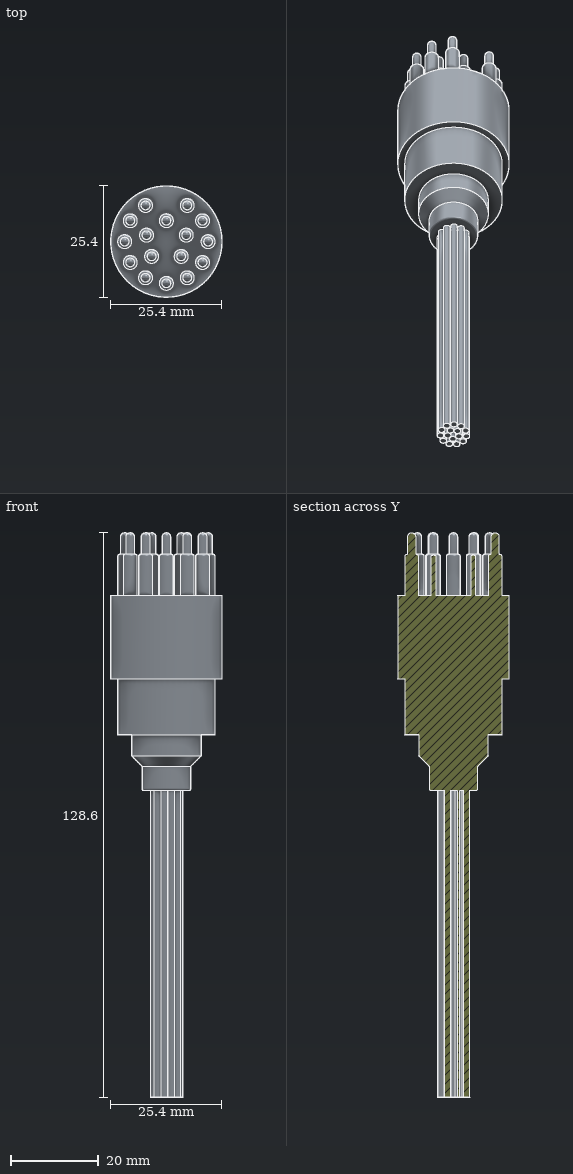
import cadquery as cq
import math

INCH = 25.4

WIRE_LENGTH = 2.75 * INCH
BOOT_LENGTH = 0.5 * INCH
SLEEVE_LENGTH = 0.5 * INCH
SHELL_LENGTH = 0.75 * INCH
SHELL_RADIUS = INCH / 2
SLEEVE_RADIUS = 22.23 / 2
BOOT_RADIUS = 15.88 / 2
NECK_RADIUS = 11.1 / 2
BOOT_COLLAR_LENGTH = 3 / 16 * INCH
NECK_FILLET = 0.4

PIN_LENGTH = 9 / 16 * INCH
PIN_BASE_LENGTH = 9.4
PIN_BASE_RADIUS = 3.17 / 2
PIN_SHOULDER_FILLET = 0.5
PIN_TIP_RADIUS = 1.99 / 2
PIN_TIP_FILLET = 0.95
OUTER_PIN_CIRCLE = 9.5
OUTER_PIN_SPACES = 12
INNER_PIN_CIRCLE = 4.76
KEY_ANGLE = 90
INNER_PIN_ANGLES = (-45, 18, KEY_ANGLE, 162, 225)

WIRE_RADIUS = 1.5 / 2
OUTER_WIRE_CIRCLE = 3.0
WIRE_START_ANGLE = 30.8
INNER_WIRE_CIRCLE = 1.35
EMBED = 1.0

NECK_END_Z = WIRE_LENGTH
BOOT_TOP_Z = NECK_END_Z + BOOT_LENGTH
SLEEVE_TOP_Z = BOOT_TOP_Z + SLEEVE_LENGTH
FACE_Z = SLEEVE_TOP_Z + SHELL_LENGTH


def polar(radius, degrees):
    """X, Y of a point at a radius and angle."""
    angle = math.radians(degrees)
    return (radius * math.cos(angle), radius * math.sin(angle))


def cylinder(radius, bottom_z, top_z):
    """Upright cylinder on the Z axis."""
    return cq.Workplane("XY", origin=(0, 0, bottom_z)).circle(radius).extrude(top_z - bottom_z)


def make_body():
    """Stepped shell and sleeve, and a boot that tapers at 45 degrees to a rounded neck."""
    taper_depth = BOOT_RADIUS - NECK_RADIUS
    collar_z = BOOT_TOP_Z - BOOT_COLLAR_LENGTH
    neck = cylinder(NECK_RADIUS, NECK_END_Z, collar_z).faces("<Z").edges().fillet(NECK_FILLET)
    collar = cylinder(BOOT_RADIUS, collar_z - taper_depth, BOOT_TOP_Z)
    collar = collar.faces("<Z").edges().chamfer(taper_depth)
    sleeve = cylinder(SLEEVE_RADIUS, BOOT_TOP_Z, SLEEVE_TOP_Z)
    shell = cylinder(SHELL_RADIUS, SLEEVE_TOP_Z, FACE_Z)
    return shell.union(sleeve).union(collar).union(neck)


def make_pin():
    """Stepped pin on the Z axis with rounded shoulder and tip."""
    shoulder_z = FACE_Z + PIN_BASE_LENGTH
    base = cylinder(PIN_BASE_RADIUS, FACE_Z - EMBED, shoulder_z)
    base = base.faces(">Z").edges().fillet(PIN_SHOULDER_FILLET)
    tip = cylinder(PIN_TIP_RADIUS, shoulder_z - EMBED, FACE_Z + PIN_LENGTH)
    return base.union(tip.faces(">Z").edges().fillet(PIN_TIP_FILLET))


def pin_centres():
    """Outer circle with the key position left empty, plus the inner pins."""
    pitch = 360 / OUTER_PIN_SPACES
    outer = [polar(OUTER_PIN_CIRCLE, KEY_ANGLE + i * pitch) for i in range(1, OUTER_PIN_SPACES)]
    inner = [polar(INNER_PIN_CIRCLE, angle) for angle in INNER_PIN_ANGLES]
    return outer + inner


def ring(radius, count):
    """Evenly spaced points around the Z axis."""
    return [polar(radius, WIRE_START_ANGLE + i * 360 / count) for i in range(count)]


def make_wires():
    """Outer and inner rings of straight wires, running into the neck."""
    outer_count = OUTER_PIN_SPACES - 1
    centres = ring(OUTER_WIRE_CIRCLE, outer_count)
    centres += ring(INNER_WIRE_CIRCLE, len(INNER_PIN_ANGLES))
    wire = cylinder(WIRE_RADIUS, 0, WIRE_LENGTH + EMBED)
    return [wire.translate((x, y, 0)) for x, y in centres]


result = make_body()
pin = make_pin()
for pin_x, pin_y in pin_centres():
    result = result.union(pin.translate((pin_x, pin_y, 0)))
for wire in make_wires():
    result = result.union(wire)